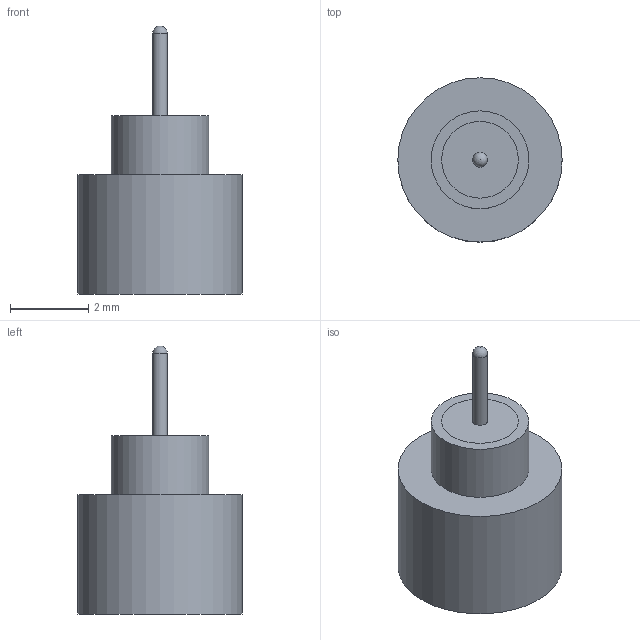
import cadquery as cq

TOTAL_HEIGHT = 6.85
BODY_DIAMETER = 4.2
BODY_HEIGHT = 3.05
COLLAR_DIAMETER = 2.5
COLLAR_HEIGHT = 1.5
BEAD_DIAMETER = 1.96
PIN_DIAMETER = 0.38

COLLAR_TOP = BODY_HEIGHT + COLLAR_HEIGHT
PIN_NOSE_RADIUS = PIN_DIAMETER / 2
PIN_SHAFT_TOP = TOTAL_HEIGHT - PIN_NOSE_RADIUS


def cylinder(diameter, bottom, top):
    """Cylinder on the Z axis between two heights."""
    return cq.Workplane("XY").workplane(offset=bottom).circle(diameter / 2).extrude(top - bottom)


def make_shell():
    """Wide body with a narrower collar, bored through the collar for the bead."""
    body = cylinder(BODY_DIAMETER, 0, BODY_HEIGHT)
    collar = cylinder(COLLAR_DIAMETER, BODY_HEIGHT, COLLAR_TOP)
    bore = cylinder(BEAD_DIAMETER, BODY_HEIGHT, COLLAR_TOP)
    return body.union(collar).cut(bore)


def make_bead():
    """Glass bead that fills the collar bore, flush with the collar top."""
    return cylinder(BEAD_DIAMETER, BODY_HEIGHT, COLLAR_TOP)


def make_pin():
    """Straight pin standing on the bead, ending in a hemispherical nose."""
    shaft = cylinder(PIN_DIAMETER, COLLAR_TOP, PIN_SHAFT_TOP)
    nose = cq.Workplane("XY").sphere(PIN_NOSE_RADIUS).translate((0, 0, PIN_SHAFT_TOP))
    return shaft.union(nose)


result = make_shell().union(make_bead(), clean=False).union(make_pin(), clean=False)